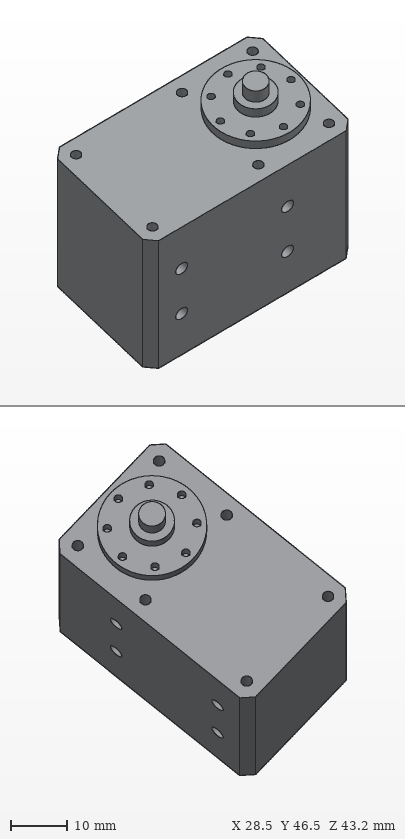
import cadquery as cq

width = 28.5
length = 46.5
height = 34.05
corner_chamfer = 2.0

axis_inset = 11.25
axis_y = length / 2 - axis_inset
disc_diameter = 19.5
disc_thickness = 2.0
hub_diameter = 8.0
hub_height = 2.2
shaft_diameter = 4.8
shaft_length = 2.98

ring_hole_count = 8
ring_hole_diameter = 1.5
ring_hole_depth = disc_thickness
ring_radius = 8.0

mount_hole_diameter = 2.0
mount_hole_x = 10.97
mount_row_pitch = 16.0
mount_end_pitch = 24.0
mount_back_inset = 3.3
mount_back_y = length / 2 - mount_back_inset
mount_middle_y = mount_back_y - mount_row_pitch
mount_front_y = mount_middle_y - mount_end_pitch

cross_hole_diameter = 2.7
cross_hole_y_pitch = 24.0
cross_hole_z_pitch = 12.0
cross_hole_back_inset = 15.25
cross_hole_back_y = length / 2 - cross_hole_back_inset
cross_hole_low_z = (height - cross_hole_z_pitch) / 2


def axis_cylinder(diameter, base_z, cylinder_height):
    """Cylinder standing on base_z, on the output axis."""
    return (
        cq.Workplane("XY", origin=(0, axis_y, base_z))
        .circle(diameter / 2)
        .extrude(cylinder_height)
    )


def ring_holes():
    """Circle of blind holes sunk from the upper disc face."""
    return (
        cq.Workplane("XY", origin=(0, axis_y, height + disc_thickness))
        .polarArray(ring_radius, 0, 360, ring_hole_count)
        .circle(ring_hole_diameter / 2)
        .extrude(-ring_hole_depth)
    )


def mount_holes():
    """Vertical holes through the housing."""
    rows = (mount_back_y, mount_middle_y, mount_front_y)
    centres = [(x, y) for x in (-mount_hole_x, mount_hole_x) for y in rows]
    return (
        cq.Workplane("XY")
        .pushPoints(centres)
        .circle(mount_hole_diameter / 2)
        .extrude(height)
    )


def cross_holes():
    """Horizontal holes through both side faces."""
    columns = (cross_hole_back_y, cross_hole_back_y - cross_hole_y_pitch)
    rows = (cross_hole_low_z, cross_hole_low_z + cross_hole_z_pitch)
    return (
        cq.Workplane("YZ")
        .pushPoints([(y, z) for y in columns for z in rows])
        .circle(cross_hole_diameter / 2)
        .extrude(width / 2, both=True)
    )


housing = (
    cq.Workplane("XY")
    .box(width, length, height, centered=(True, True, False))
    .edges("|Z")
    .chamfer(corner_chamfer)
)

hub_base_z = height + disc_thickness
shaft_base_z = hub_base_z + hub_height

result = (
    housing
    .union(axis_cylinder(disc_diameter, -disc_thickness, disc_thickness))
    .union(axis_cylinder(disc_diameter, height, disc_thickness))
    .union(axis_cylinder(hub_diameter, hub_base_z, hub_height))
    .union(axis_cylinder(shaft_diameter, shaft_base_z, shaft_length))
    .cut(ring_holes())
    .cut(mount_holes())
    .cut(cross_holes())
)